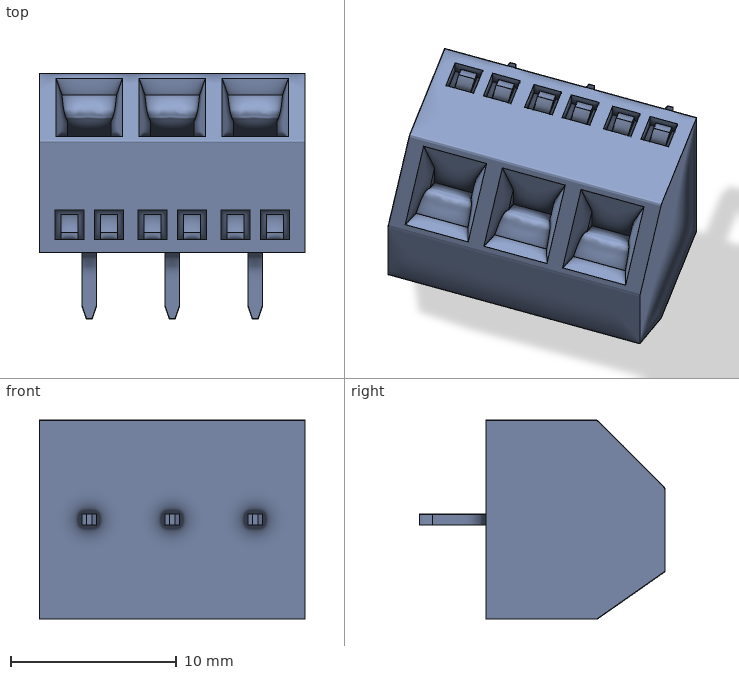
import cadquery as cq
import math

POLES = 3
PITCH = 5.0
HOUSING_LENGTH = 16.0
HOUSING_DEPTH = 10.8
HOUSING_HEIGHT = 12.0
CHAMFER = 4.1
UNDER_ANGLE = 35.0
EDGE_RADIUS = 0.3

PIN_WIDTH = 0.9
PIN_THICKNESS = 0.65
PIN_LENGTH = 4.0
PIN_TIP_WIDTH = 0.35
PIN_TIP_LENGTH = 0.8
PIN_HEIGHT = HOUSING_HEIGHT / 2

ENTRY_WIDTH = 4.0
ENTRY_THROAT_WIDTH = 2.6
ENTRY_SIDE_TAPER = 0.5
ENTRY_FRONT = 7.0
ENTRY_BACK = 10.5
ENTRY_LEDGE = 1.0
RIDGE_END = 7.9

POCKET_SIZE = 1.75
POCKET_DEPTH = 0.9
POCKET_FRONT = 0.8
POCKET_OFFSET = 1.19
WEDGE_WIDTH = 1.02
WEDGE_LENGTH = 1.5
WEDGE_RAMP = 1.08
WEDGE_ANGLE = 20.0

UNDER_SLOPE = math.tan(math.radians(UNDER_ANGLE))
SLOPE_START = HOUSING_DEPTH - CHAMFER
SLOPE_END_HEIGHT = HOUSING_HEIGHT - CHAMFER
POLE_POSITIONS = [PITCH * (i - (POLES - 1) / 2) for i in range(POLES)]


def side_plane(width):
    """YZ plane at the -X end of a body of this width centred on X = 0."""
    return cq.Workplane("YZ", origin=(-width / 2, 0, 0))


def slope_height(y):
    """Height of the upper slope at the given Y."""
    return HOUSING_HEIGHT - (y - SLOPE_START)


def make_housing():
    outline = [
        (0, 0),
        (SLOPE_START, 0),
        (HOUSING_DEPTH, CHAMFER * UNDER_SLOPE),
        (HOUSING_DEPTH, SLOPE_END_HEIGHT),
        (SLOPE_START, HOUSING_HEIGHT),
        (0, HOUSING_HEIGHT),
    ]
    housing = side_plane(HOUSING_LENGTH).polyline(outline).close().extrude(HOUSING_LENGTH)
    slope_region = cq.selectors.BoxSelector(
        (-HOUSING_LENGTH, SLOPE_START - EDGE_RADIUS, SLOPE_END_HEIGHT - EDGE_RADIUS),
        (HOUSING_LENGTH, HOUSING_DEPTH + EDGE_RADIUS, HOUSING_HEIGHT + EDGE_RADIUS),
    )
    return housing.edges("|X").edges(slope_region).fillet(EDGE_RADIUS)


def make_entry_side_limits(throat_depth):
    """Funnel section square to the slope: tapered sides down to a straight throat."""
    half_mouth = ENTRY_WIDTH / 2
    half_throat = ENTRY_THROAT_WIDTH / 2
    slope_plane = cq.Plane(
        origin=(0, HOUSING_DEPTH, SLOPE_END_HEIGHT), xDir=(1, 0, 0), normal=(0, -1, 1)
    )
    section = [
        (-half_mouth, 0),
        (half_mouth, 0),
        (half_throat, -throat_depth),
        (half_throat, -HOUSING_DEPTH),
        (-half_throat, -HOUSING_DEPTH),
        (-half_throat, -throat_depth),
    ]
    slope_length = CHAMFER * math.sqrt(2)
    return cq.Workplane(slope_plane).polyline(section).close().extrude(slope_length)


def make_entry():
    """Cutter for one wire entry: ledge, rounded ridge and descending floor between the sides."""
    throat_depth = (ENTRY_WIDTH - ENTRY_THROAT_WIDTH) / 2 / ENTRY_SIDE_TAPER
    ledge_height = slope_height(ENTRY_BACK)
    ridge_height = slope_height(RIDGE_END) - throat_depth * math.sqrt(2)
    floor_front_height = ridge_height - (RIDGE_END - ENTRY_FRONT) * UNDER_SLOPE
    profile = (
        side_plane(ENTRY_WIDTH)
        .moveTo(ENTRY_BACK, ledge_height)
        .lineTo(ENTRY_BACK - ENTRY_LEDGE, ledge_height)
        .spline(
            [(RIDGE_END, ridge_height)],
            tangents=[(-1, UNDER_SLOPE), (-1, -UNDER_SLOPE)],
            includeCurrent=True,
        )
        .lineTo(ENTRY_FRONT, floor_front_height)
        .lineTo(ENTRY_FRONT, slope_height(ENTRY_FRONT))
        .close()
    )
    return profile.extrude(ENTRY_WIDTH).intersect(make_entry_side_limits(throat_depth))


def make_pocket():
    """Cutter for one test pocket centred on X = 0, leaving its wedge standing."""
    floor = HOUSING_HEIGHT - POCKET_DEPTH
    pocket = cq.Workplane("XY", origin=(0, POCKET_FRONT, floor)).box(
        POCKET_SIZE, POCKET_SIZE, POCKET_DEPTH, centered=(True, False, False)
    )
    wedge_back = POCKET_FRONT + WEDGE_LENGTH
    wedge_top = floor + WEDGE_RAMP * math.tan(math.radians(WEDGE_ANGLE))
    wedge_outline = [
        (POCKET_FRONT, floor),
        (wedge_back, floor),
        (wedge_back - WEDGE_RAMP, wedge_top),
        (POCKET_FRONT, wedge_top),
    ]
    wedge = side_plane(WEDGE_WIDTH).polyline(wedge_outline).close().extrude(WEDGE_WIDTH)
    return pocket.cut(wedge)


def make_pin():
    """Flat pin with a tapered tip, pointing toward -Y."""
    half_width = PIN_WIDTH / 2
    half_tip = PIN_TIP_WIDTH / 2
    shoulder = PIN_TIP_LENGTH - PIN_LENGTH
    outline = [
        (-half_width, 0),
        (-half_width, shoulder),
        (-half_tip, -PIN_LENGTH),
        (half_tip, -PIN_LENGTH),
        (half_width, shoulder),
        (half_width, 0),
    ]
    pin_plane = cq.Workplane("XY", origin=(0, 0, PIN_HEIGHT - PIN_THICKNESS / 2))
    return pin_plane.polyline(outline).close().extrude(PIN_THICKNESS)


entry = make_entry()
pocket_cutter = make_pocket()
pin = make_pin()

result = make_housing()
for pole_x in POLE_POSITIONS:
    result = result.cut(entry.translate((pole_x, 0, 0)))
    for pocket_x in (pole_x - POCKET_OFFSET, pole_x + POCKET_OFFSET):
        result = result.cut(pocket_cutter.translate((pocket_x, 0, 0)))
    result = result.union(pin.translate((pole_x, 0, 0)))